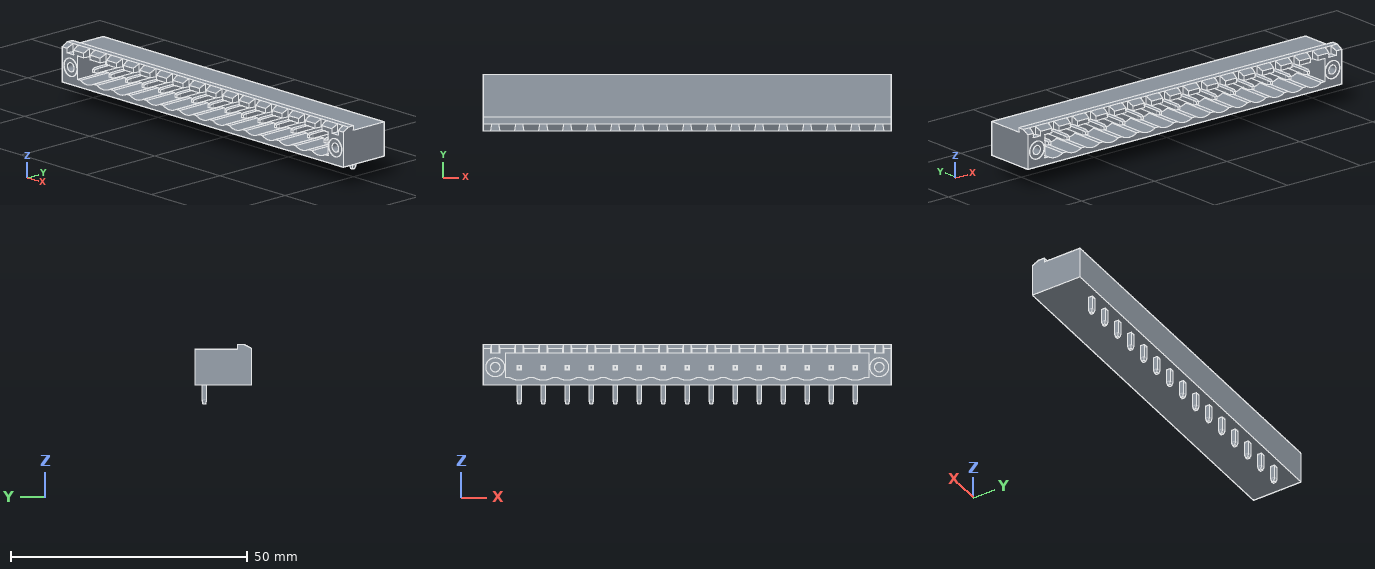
import cadquery as cq


PIN_COUNT = 15
PITCH = 5.08
PIN_SIZE = 1.0
PIN_TIP_SIZE = 0.6
PIN_TIP_LENGTH = 0.8
SOLDER_LENGTH = 4.0
CONTACT_Z = 3.7
CONTACT_TIP_DEPTH = 1.9

END_MARGIN = 1.5 * PITCH
LENGTH = (PIN_COUNT - 1) * PITCH + 2 * END_MARGIN
DEPTH = 12.0
HEIGHT = 8.6
BACK_Y = 2.0
FRONT_Y = BACK_Y - DEPTH
DECK_HEIGHT = 7.6
RIDGE_DEPTH = 3.0
BEVEL_DEPTH = 1.5
BEVEL_DROP = 0.8

CAVITY_END_WALL = 4.7
CAVITY_LENGTH = LENGTH - 2 * CAVITY_END_WALL
CAVITY_TOP = 6.8
CAVITY_FLOOR = 1.6
CAVITY_DEPTH = 8.2
TROUGH_SAG = 0.55
RIB_WIDTH = 1.1
TROUGH_WIDTH = PITCH - RIB_WIDTH

NOTCH_BACK_WIDTH = 1.5
NOTCH_FRONT_WIDTH = 2.0

INSERT_DIAMETER = 4.0
INSERT_RECESS = 0.1
INSERT_BORE = 2.0
INSERT_BORE_DEPTH = 6.0
INSERT_Z = 3.8

PIN_XS = [(i - (PIN_COUNT - 1) / 2) * PITCH for i in range(PIN_COUNT)]
FLANGE_XS = [PIN_XS[0] - PITCH, PIN_XS[-1] + PITCH]


def housing_block():
    """Side outline with the raised, bevelled front ridge, extruded along the row."""
    return (
        cq.Workplane("YZ", origin=(-LENGTH / 2, 0, 0))
        .moveTo(FRONT_Y, 0)
        .lineTo(BACK_Y, 0)
        .lineTo(BACK_Y, DECK_HEIGHT)
        .lineTo(FRONT_Y + RIDGE_DEPTH, DECK_HEIGHT)
        .lineTo(FRONT_Y + RIDGE_DEPTH, HEIGHT)
        .lineTo(FRONT_Y + BEVEL_DEPTH, HEIGHT)
        .lineTo(FRONT_Y, HEIGHT - BEVEL_DROP)
        .close()
        .extrude(LENGTH)
    )


def front_plane():
    """Sketch plane on the mating face; positive extrusion goes outwards (-Y)."""
    return cq.Workplane("XZ", origin=(0, FRONT_Y, 0))


def cavity():
    """Mating cavity whose floor has one shallow round trough under each contact."""
    half = CAVITY_LENGTH / 2
    outline = front_plane().moveTo(-half, CAVITY_TOP).lineTo(-half, CAVITY_FLOOR)
    for x in PIN_XS:
        outline = outline.lineTo(x - TROUGH_WIDTH / 2, CAVITY_FLOOR).threePointArc(
            (x, CAVITY_FLOOR - TROUGH_SAG),
            (x + TROUGH_WIDTH / 2, CAVITY_FLOOR),
        )
    outline = outline.lineTo(half, CAVITY_FLOOR).lineTo(half, CAVITY_TOP)
    return outline.close().extrude(-CAVITY_DEPTH)


def notch(x):
    """Notch through the bevelled edge, flaring towards the mating face."""
    return (
        cq.Workplane("XY", origin=(x, FRONT_Y, CAVITY_TOP))
        .moveTo(-NOTCH_FRONT_WIDTH / 2, 0)
        .lineTo(NOTCH_FRONT_WIDTH / 2, 0)
        .lineTo(NOTCH_BACK_WIDTH / 2, BEVEL_DEPTH)
        .lineTo(-NOTCH_BACK_WIDTH / 2, BEVEL_DEPTH)
        .close()
        .extrude(HEIGHT - CAVITY_TOP)
    )


def insert_hole(x):
    """Bore of a flange insert with the shallow round recess of its face."""
    center = front_plane().center(x, INSERT_Z)
    face = center.circle(INSERT_DIAMETER / 2).extrude(-INSERT_RECESS)
    bore = center.circle(INSERT_BORE / 2).extrude(-INSERT_BORE_DEPTH)
    return face.union(bore)


def square_pin(plane, length):
    """Square pin along the plane normal, ending in a tapered tip."""
    shank_length = length - PIN_TIP_LENGTH
    shank = plane.rect(PIN_SIZE, PIN_SIZE).extrude(shank_length)
    tip = (
        plane.workplane(offset=shank_length)
        .rect(PIN_SIZE, PIN_SIZE)
        .workplane(offset=PIN_TIP_LENGTH)
        .rect(PIN_TIP_SIZE, PIN_TIP_SIZE)
        .loft(ruled=True)
    )
    return shank.union(tip)


def angled_pin(x):
    """Right-angle pin: contact leg towards -Y and solder leg towards -Z."""
    heel = PIN_SIZE / 2
    contact_plane = cq.Workplane("XZ", origin=(x, heel, CONTACT_Z))
    contact = square_pin(contact_plane, heel - FRONT_Y - CONTACT_TIP_DEPTH)
    solder_plane = cq.Workplane("XY", origin=(x, 0, CONTACT_Z)).transformed(rotate=(180, 0, 0))
    solder = square_pin(solder_plane, CONTACT_Z + SOLDER_LENGTH)
    return contact.union(solder)


result = housing_block().cut(cavity())
for notch_x in PIN_XS + FLANGE_XS:
    result = result.cut(notch(notch_x))
for flange_x in FLANGE_XS:
    result = result.cut(insert_hole(flange_x))
for pin_x in PIN_XS:
    result = result.union(angled_pin(pin_x))